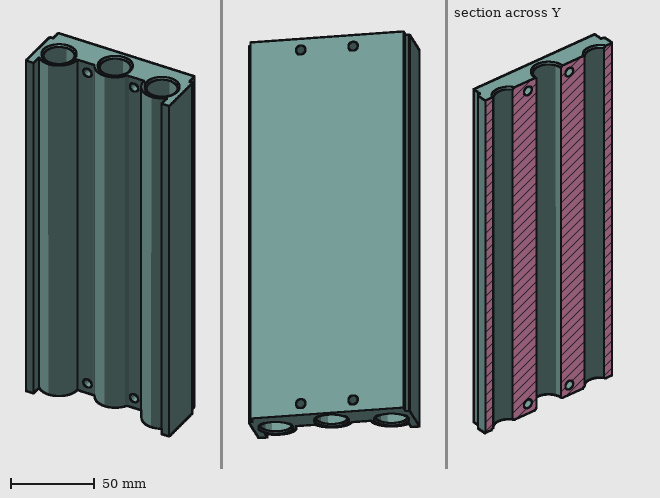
import cadquery as cq
import math

length = 238.0
width = 98.0
depth = 35.0

step_width = 2.4
step_depth = 6.2
step_chamfer = 0.7

lip_width = 5.2
web_front = 16.0

tube_radius = 12.4
middle_root_radius = 1.2
bore_radius = 9.3
bore_chamfer = 1.2
side_tube_offset = 35.2
side_tube_y = 15.7
middle_tube_y = 21.5
tube_centers = [
    (-side_tube_offset, side_tube_y),
    (0, middle_tube_y),
    (side_tube_offset, side_tube_y),
]

hole_diameter = 5.7
hole_offset = 16.0
hole_end_distance = 7.1


def box(x_min, x_max, y_min, y_max):
    """Full-length rectangular bar between the given X and Y limits."""
    return (
        cq.Workplane("XY")
        .box(x_max - x_min, y_max - y_min, length, centered=False)
        .translate((x_min, y_min, 0))
    )


def make_body():
    """Channel with stepped back corners, two front lips and three round ribs."""
    half_width = width / 2
    step_y = depth - step_depth
    body = box(-half_width, half_width, web_front, step_y)
    body = body.union(box(-half_width + step_width, half_width - step_width, web_front, depth))
    body = body.union(box(-half_width, -half_width + lip_width, 0, step_y))
    body = body.union(box(half_width - lip_width, half_width, 0, step_y))
    ribs = cq.Workplane("XY").pushPoints(tube_centers).circle(tube_radius).extrude(length)
    return body.union(ribs)


def long_edges(body, x, y):
    """The two edges along Z that stand at (x, y) and (-x, y)."""
    edges = body.edges("|Z")
    left = cq.NearestToPointSelector((-x, y, length / 2))
    right = cq.NearestToPointSelector((x, y, length / 2))
    return edges.edges(left + right)


def finish_edges(body):
    """Bevel the back corner steps and blend the middle tube into the web."""
    body = long_edges(body, width / 2, depth - step_depth).chamfer(step_chamfer)
    root_x = math.sqrt(tube_radius**2 - (middle_tube_y - web_front) ** 2)
    return long_edges(body, root_x, web_front).fillet(middle_root_radius)


def make_bore(center):
    """Through bore along Z, with a chamfered mouth at each end."""
    bore = cq.Workplane("XY").circle(bore_radius).extrude(length)
    mouth = cq.Solid.makeCone(bore_radius + bore_chamfer, bore_radius, bore_chamfer)
    top_mouth = mouth.mirror("XY").translate(cq.Vector(0, 0, length))
    return bore.union(mouth).union(top_mouth).translate((*center, 0))


def make_mounting_holes():
    """Four holes along Y, two near each end of the web."""
    places = [
        (x, z)
        for x in (-hole_offset, hole_offset)
        for z in (hole_end_distance, length - hole_end_distance)
    ]
    return cq.Workplane("XZ").pushPoints(places).circle(hole_diameter / 2).extrude(-depth)


result = finish_edges(make_body())
for tube_center in tube_centers:
    result = result.cut(make_bore(tube_center))
result = result.cut(make_mounting_holes())